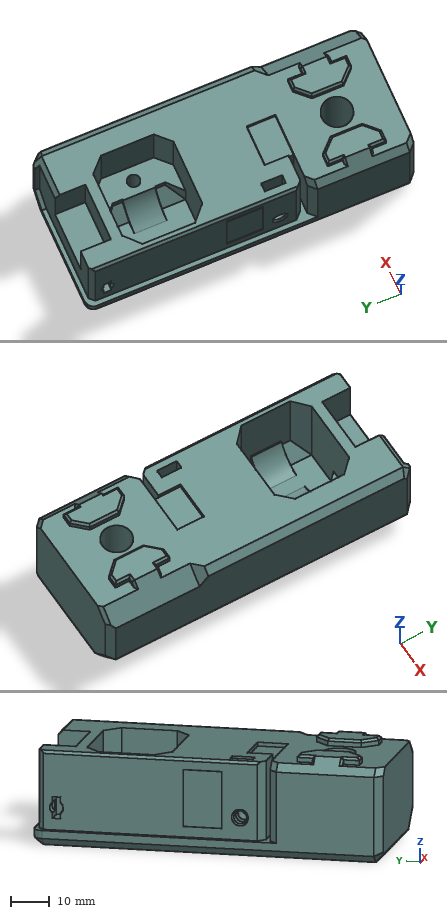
import cadquery as cq
import math

length = 92.75
width = 38.2
deck_height = 25.1
small_chamfer = 2.0
lower_right_chamfer = 6.2
upper_right_chamfer = 4.7
front_right_facet = 1.1
rear_chamfer = 2.6
overshoot = 0.9
margin = 0.1
large_span = 2 * width

head_length = 30.05
ledge_height = 4.2
cover_depth = 1.4
rear_wall_y = length - 1.3
cover_slot_end = 10.9
wall_front_chamfer = 1.95
wall_rear_chamfer = 1.4
wall_top_chamfer = 0.7
cover_toe_x = 30.05
post_x = 34.5
post_slope_top = 8.1

notch_left = 7.8
notch_right = 24.4
notch_front = 82.9
notch_floor = 13.0
label_right = 22.7
label_rear = 38.1
label_depth = 1.0

pocket_left = 3.3
pocket_right = 30.2
pocket_front = 57.2
pocket_rear = 79.9
pocket_corner = 3.9
pocket_floor = 9.1
cradle_right = 22.7
cradle_slope = 4.3
cradle_floor = 3.1
cradle_radius = 10.2
cradle_flat = 4.1
cradle_front = 64.0
cradle_rear = 73.2
drain_x = 26.3
drain_y = 68.45
drain_diameter = 3.5

bore_x = 17.1
bore_y = 15.1
bore_diameter = 8.5
key_height = 1.9
key_root = 1.4
key_inner = 6.0
key_shoulder = 9.7
key_outer = 13.0
key_half_length = 8.3
key_half_flat = 4.45
key_tab_half = 4.1
key_chamfer = 0.65

side_hole_height = 10.1
screw_y = 37.9
screw_diameter = 3.4
screw_chamfer = 0.5
screw_depth = 10.2
nut_left = 4.2
nut_right = 6.6
nut_front = 35.15
nut_rear = 41.1
nut_bottom = 7.1
nut_bottom_chamfer = 0.65
clip_y = 86.6
clip_width = 2.1
clip_height = 5.75
clip_depth = 4.6
clip_hole_diameter = 3.5
clip_hole_depth = 2.8
panel_front = 42.8
panel_rear = 53.0
panel_bottom = 7.0
panel_top = 22.1
panel_depth = 0.2


def box(x0, x1, y0, y1, z0, z1):
    """Axis-aligned box between two opposite corners."""
    return cq.Workplane("XY").box(x1 - x0, y1 - y0, z1 - z0, centered=False).translate((x0, y0, z0))


def prism_up(points, z0, z1):
    """Plan outline raised from z0 to z1."""
    return cq.Workplane("XY").workplane(offset=z0).polyline(points).close().extrude(z1 - z0)


def prism_along_y(points, y0, y1):
    """Outline of (x, z) points carried from y0 to y1."""
    return cq.Workplane("XZ", origin=(0, y0, 0)).polyline(points).close().extrude(y0 - y1)


def prism_along_x(points, x0, x1):
    """Outline of (y, z) points carried from x0 to x1."""
    return cq.Workplane("YZ", origin=(x0, 0, 0)).polyline(points).close().extrude(x1 - x0)


def rod_along_x(x0, x1, y, z, diameter):
    return cq.Workplane("YZ", origin=(x0, y, z)).circle(diameter / 2).extrude(x1 - x0)


def rod_up(x, y, diameter):
    return cq.Workplane("XY", origin=(x, y, -overshoot)).circle(diameter / 2).extrude(large_span)


def corner_triangle(leg):
    """Upper right body corner cut off at 45 degrees."""
    return [(width - leg, deck_height), (width, deck_height), (width, deck_height - leg)]


def upper_right_bevel():
    """Large bevel along the head, narrowing to the small one at the head's rear end."""
    bevel_end = head_length - (upper_right_chamfer - small_chamfer)
    straight = prism_along_y(corner_triangle(upper_right_chamfer), 0, bevel_end)
    taper = (
        cq.Workplane("XZ", origin=(0, bevel_end, 0))
        .polyline(corner_triangle(upper_right_chamfer)).close()
        .workplane(offset=bevel_end - head_length)
        .polyline(corner_triangle(small_chamfer)).close()
        .loft(ruled=True)
    )
    return straight.union(taper)


def upper_left_bevel():
    """Bevel on the upper left edge of the head."""
    c = small_chamfer
    return prism_along_y([(0, deck_height - c), (c, deck_height), (0, deck_height)], 0, length)


def space_beyond(point, normal):
    """Large block filling the side of a plane that its normal points to."""
    plane = cq.Plane(origin=point, xDir=(normal[1], -normal[0], 0), normal=normal)
    return cq.Workplane(plane).rect(large_span, large_span).extrude(large_span)


def corner_facets():
    """Material beyond the sloping facets where the upper bevels meet the corner bevels."""
    c = small_chamfer
    front_left = space_beyond((c, c, deck_height), (-1, -1, 1))
    back_left = space_beyond((c, head_length - c, deck_height), (-1, 1, 1))
    back_left = back_left.intersect(box(0, width, 0, head_length, 0, deck_height))
    front_right = space_beyond((width - upper_right_chamfer, front_right_facet, deck_height), (1, -1, 1))
    rear_right = space_beyond((width - c, length - rear_chamfer, deck_height), (math.sqrt(2), 1, 1))
    return [front_left, back_left, front_right, rear_right]


def rounded_corner_waste():
    """Material outside the rounded left rear corner."""
    r = rear_chamfer
    corner = box(-overshoot, r, length - r, length + overshoot, 0, deck_height)
    post = cq.Workplane("XY", origin=(r, length - r, 0)).circle(r).extrude(deck_height)
    return corner.cut(post.faces("<Z").chamfer(small_chamfer))


def body():
    """Long block with bevelled edges and a rounded left rear corner."""
    c = small_chamfer
    section = [
        (c, 0),
        (width - lower_right_chamfer, 0),
        (width, lower_right_chamfer),
        (width, deck_height),
        (0, deck_height),
        (0, c),
    ]
    block = prism_along_y(section, 0, length)
    block = block.faces("<Y").edges("not >Z").chamfer(c)
    rear_edges = cq.selectors.BoxSelector(
        (c + margin, length - margin, -margin),
        (width + margin, length + margin, deck_height - margin),
    )
    block = block.edges(rear_edges).chamfer(rear_chamfer)

    small_right_bevel = prism_along_y(corner_triangle(c), 0, length)
    edge_waste = [upper_left_bevel(), upper_right_bevel(), small_right_bevel, rounded_corner_waste()]
    for waste in edge_waste + corner_facets():
        block = block.cut(waste)
    return block


def left_cover_recess():
    """Space beside the left wall, ending in a narrow cross slot behind the head."""
    slot_rear = head_length + cover_depth
    outline = [
        (-overshoot, head_length - small_chamfer - overshoot),
        (small_chamfer, head_length),
        (cover_slot_end, head_length),
        (cover_slot_end, slot_rear),
        (cover_depth + wall_front_chamfer, slot_rear),
        (cover_depth, slot_rear + wall_front_chamfer),
        (cover_depth, rear_wall_y - wall_rear_chamfer),
        (cover_depth + wall_rear_chamfer, rear_wall_y),
        (cover_depth + wall_rear_chamfer, length + overshoot),
        (-overshoot, length + overshoot),
    ]
    return prism_up(outline, ledge_height, deck_height + overshoot)


def rear_cover_recess():
    """Space behind the rear wall, bounded on the right by a post with a sloped foot."""
    top = deck_height + overshoot
    outline = [
        (0, ledge_height),
        (cover_toe_x, ledge_height),
        (post_x, post_slope_top),
        (post_x, top),
        (0, top),
    ]
    return prism_along_y(outline, rear_wall_y, length + overshoot)


def wall_top_bevel():
    """Bevel on the upper edge of the recessed left wall."""
    edge_z = deck_height - wall_top_chamfer
    outline = [
        (0, edge_z),
        (cover_depth, edge_z),
        (cover_depth + wall_top_chamfer, deck_height),
        (0, deck_height),
    ]
    return prism_along_y(outline, head_length + cover_depth, length)


def rear_top_bevel():
    """Bevel on the upper rear edge, right of the notch."""
    outline = [
        (length - rear_chamfer, deck_height),
        (length, deck_height - rear_chamfer),
        (length, deck_height),
    ]
    return prism_along_x(outline, notch_right, width)


def octagon(x0, x1, corner_left, corner_right):
    """Plan outline of the pocket between x0 and x1 with its four corners cut off."""
    return [
        (x0 + corner_left, pocket_front),
        (x1 - corner_right, pocket_front),
        (x1, pocket_front + pocket_corner),
        (x1, pocket_rear - pocket_corner),
        (x1 - corner_right, pocket_rear),
        (x0 + corner_left, pocket_rear),
        (x0, pocket_rear - pocket_corner),
        (x0, pocket_front + pocket_corner),
    ]


def cradle_pocket():
    """Octagonal pocket whose deeper left part has sloped sides and a round cradle."""
    upper_outline = octagon(pocket_left, pocket_right, cradle_slope, pocket_corner)
    upper = prism_up(upper_outline, pocket_floor, deck_height + overshoot)

    lower_outline = octagon(pocket_left, cradle_right, cradle_slope, cradle_slope)
    lower = prism_up(lower_outline, cradle_floor, pocket_floor)
    slope_top = cradle_floor + cradle_slope
    trough = [
        (pocket_left + cradle_slope, cradle_floor),
        (cradle_right - cradle_slope, cradle_floor),
        (cradle_right, slope_top),
        (cradle_right, pocket_floor),
        (pocket_left, pocket_floor),
        (pocket_left, slope_top),
    ]
    lower = lower.intersect(prism_along_y(trough, pocket_front, pocket_rear))

    axis_x = (pocket_left + cradle_right) / 2
    axis_z = cradle_floor + math.sqrt(cradle_radius**2 - (cradle_flat / 2) ** 2)
    cradle_space = box(pocket_left, cradle_right, cradle_front, cradle_rear, cradle_floor, pocket_floor)
    roller = (
        cq.Workplane("XZ", origin=(axis_x, cradle_front, axis_z))
        .circle(cradle_radius)
        .extrude(cradle_front - cradle_rear)
    )
    lower = lower.cut(cradle_space).union(cradle_space.intersect(roller))
    return upper.union(lower).union(rod_up(drain_x, drain_y, drain_diameter))


def key_boss(side, bevel_foot):
    """Raised key beside the bore; side is -1 (left) or 1 (right).

    Its tab runs out to the body bevel, which meets the deck bevel_foot away from the bore.
    """
    root = deck_height - key_root
    top = deck_height + key_height
    half = [
        (key_inner, key_half_flat),
        (key_shoulder, key_half_length),
        (key_outer, key_half_length),
    ]
    outline = half + [(x, -y) for x, y in reversed(half)]
    head = prism_up([(bore_x + side * x, bore_y + y) for x, y in outline], root, top)
    head = head.faces(">Z").chamfer(key_chamfer)

    tab_section = [
        (key_shoulder, root),
        (bevel_foot + key_root, root),
        (bevel_foot - key_height, top),
        (key_shoulder, top),
    ]
    tab_points = [(bore_x + side * x, z) for x, z in tab_section]
    tab = prism_along_y(tab_points, bore_y - key_tab_half, bore_y + key_tab_half)
    outward_and_up = cq.selectors.DirectionMinMaxSelector(cq.Vector(side, 0, 1), True)
    rim = tab.faces(">Z").edges("|X").vals()
    rim += tab.faces(outward_and_up).edges("#Y").vals()
    return head.union(tab.newObject(rim).chamfer(key_chamfer))


def screw_and_nut():
    """Countersunk cross hole through a nut slot that is open at the top."""
    y, z = screw_y, side_hole_height
    hole = rod_along_x(cover_depth, cover_depth + screw_depth, y, z, screw_diameter)
    mouth = (
        cq.Workplane("YZ", origin=(cover_depth, y, z))
        .circle(screw_diameter / 2 + screw_chamfer)
        .extrude(screw_chamfer, taper=45)
    )
    slot = [
        (nut_front, nut_bottom),
        (nut_rear - nut_bottom_chamfer, nut_bottom),
        (nut_rear, nut_bottom + nut_bottom_chamfer),
        (nut_rear, deck_height),
        (nut_front, deck_height),
    ]
    return hole.union(mouth).union(prism_along_x(slot, nut_left, nut_right))


def clip_slot():
    """Upright slot crossed by a shallower round hole near the rear of the left wall."""
    z = side_hole_height
    slot = box(
        cover_depth, cover_depth + clip_depth,
        clip_y - clip_width / 2, clip_y + clip_width / 2,
        z - clip_height / 2, z + clip_height / 2,
    )
    return slot.union(rod_along_x(cover_depth, cover_depth + clip_hole_depth, clip_y, z, clip_hole_diameter))


above_deck = deck_height + overshoot
rear_notch = box(notch_left, notch_right, notch_front, length + overshoot, notch_floor, above_deck)
top_recess = box(cover_slot_end, label_right, head_length, label_rear, deck_height - label_depth, above_deck)
side_panel = box(cover_depth, cover_depth + panel_depth, panel_front, panel_rear, panel_bottom, panel_top)

result = body()
cutters = [
    left_cover_recess(),
    rear_cover_recess(),
    wall_top_bevel(),
    rear_top_bevel(),
    rear_notch,
    top_recess,
    side_panel,
    cradle_pocket(),
    screw_and_nut(),
    clip_slot(),
]
for cutter in cutters:
    result = result.cut(cutter)

result = result.union(key_boss(-1, bore_x - small_chamfer))
result = result.union(key_boss(1, width - upper_right_chamfer - bore_x))
result = result.cut(rod_up(bore_x, bore_y, bore_diameter))